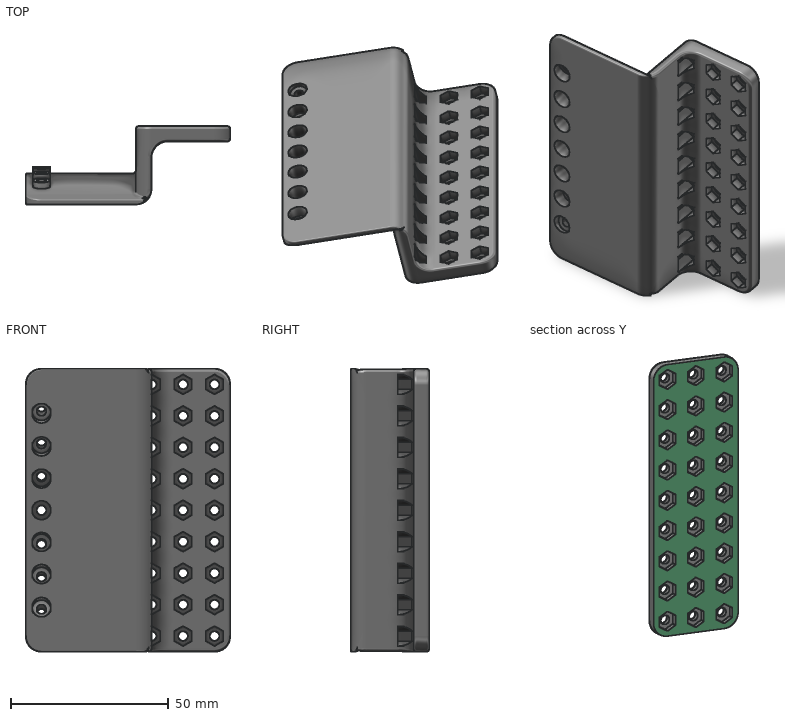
import cadquery as cq
import math

LENGTH = 65.0
DEPTH = 25.0
HEIGHT = 90.0
TOP = HEIGHT / 2

WALL = 5.0
WEB_OUTER = 40.0
WEB_INNER = WEB_OUTER - WALL
BACK_FRONT = DEPTH - WALL
CORNER_RADIUS = 5.0
BEND_RADIUS = 5.0
BODY_EDGE_RADIUS = 1.0

CROWN = 10.0
CROWN_RADIUS = 125.0
CROWN_AXIS_Y = CROWN - CROWN_RADIUS
PLATE_EDGE_RADIUS = 0.5
ROOT_RADIUS = 1.0

SCREW_X = 5.0
SCREW_PER_SIDE = 3
SCREW_ANGLE = 5.0
SCREW_HOLE = 3.0
BOSS_DIAMETER = 5.5
BOSS_HEIGHT = 2.0
HEAD_DIAMETER = 6.0
HEAD_SEAT_RADIUS = 121.5

GRID_PITCH = 10.0
GRID_COLUMNS = 3
GRID_ROWS = 9
NUT_HOLE = 3.0
NUT_FLATS = 5.5
NUT_DEPTH = 3.0
NUT_SIDES = 6
NUT_TURN = 180 / NUT_SIDES

TOLERANCE = 0.01


def pick(shape, wanted):
    """Return the edges of the shape whose centre satisfies the test."""
    edges = [edge for edge in shape.edges().vals() if wanted(edge.Center())]
    return shape.newObject(edges)


def is_bend(center):
    """Tell whether an edge centre lies on one of the two bends along the web."""
    return abs(center.x - WEB_OUTER) < TOLERANCE and abs(center.z) < TOLERANCE


def make_web_and_back_plate():
    """Z-extruded web and back plate with rounded corners and a rounded rear rim."""
    body = (
        cq.Workplane("XY", origin=(0, 0, -TOP))
        .moveTo(0, 0)
        .lineTo(WEB_OUTER, 0)
        .lineTo(WEB_OUTER, BACK_FRONT)
        .lineTo(LENGTH, BACK_FRONT)
        .lineTo(LENGTH, DEPTH)
        .lineTo(0, DEPTH)
        .close()
        .extrude(HEIGHT)
    )
    body = pick(body, is_bend).fillet(BEND_RADIUS)
    outline = (
        cq.Workplane("XY")
        .box(LENGTH - WEB_INNER, DEPTH, HEIGHT, centered=(False, False, True))
        .translate((WEB_INNER, 0, 0))
        .edges("|Y")
        .fillet(CORNER_RADIUS)
    )
    body = body.intersect(outline)
    return body.faces(">Y").edges().fillet(BODY_EDGE_RADIUS)


def is_front_rim(center):
    """Tell whether an edge centre lies on the open rim facing the front."""
    near_top_or_bottom = abs(center.z) > TOP - CORNER_RADIUS
    on_web = WEB_INNER + TOLERANCE < center.x < WEB_OUTER + BEND_RADIUS and center.y < BACK_FRONT
    beyond_bend = center.x > WEB_OUTER + BEND_RADIUS + TOLERANCE
    on_back_plate = beyond_bend and abs(center.y - BACK_FRONT) < TOLERANCE
    return on_back_plate or (on_web and near_top_or_bottom)


def make_front_plate():
    """Front plate with a crowned rear side and a rounded outer bend."""
    plate = cq.Workplane("XY").box(WEB_OUTER, CROWN, HEIGHT, centered=(False, False, True))
    plate = plate.edges("|Y and <X").fillet(CORNER_RADIUS)
    plate = plate.edges("|Z and >X and <Y").fillet(BEND_RADIUS)
    crown = (
        cq.Workplane("YZ")
        .center(CROWN_AXIS_Y, 0)
        .circle(CROWN_RADIUS)
        .extrude(WEB_OUTER)
    )
    plate = plate.intersect(crown)
    return pick(plate, is_plate_rim).fillet(PLATE_EDGE_RADIUS)


def is_plate_rim(center):
    """Tell whether an edge centre lies on the rim of the plate away from the web."""
    at_corner_seam = abs(center.x - CORNER_RADIUS) < TOLERANCE
    at_side_seam = center.x < TOLERANCE and abs(abs(center.z) - (TOP - CORNER_RADIUS)) < TOLERANCE
    on_outline = abs(center.z) > TOP - TOLERANCE or center.x < CORNER_RADIUS
    return on_outline and not at_corner_seam and not at_side_seam


def is_root(center):
    """Tell whether an edge centre lies on the arc where the crown meets the flat of the web."""
    return abs(center.x - WEB_INNER) < TOLERANCE and CROWN / 2 < center.y < CROWN


def join_plates():
    """Join both halves, with a rounded root along the crown and a rounded front rim on the web."""
    web = make_web_and_back_plate()
    plate = make_front_plate()
    sharp_body = web.union(plate)
    root_fillet = pick(sharp_body, is_root).fillet(ROOT_RADIUS).cut(sharp_body)
    rounded_web = pick(web, is_front_rim).fillet(BODY_EDGE_RADIUS)
    return plate.union(root_fillet).union(rounded_web)


def radial_cylinder(angle, diameter, start_radius, end_radius):
    """Cylinder pointing away from the crown axis, between two radii about that axis."""
    cylinder = cq.Workplane("XZ", origin=(SCREW_X, CROWN_AXIS_Y + start_radius, 0))
    cylinder = cylinder.circle(diameter / 2).extrude(start_radius - end_radius)
    return cylinder.rotate((0, CROWN_AXIS_Y, 0), (1, CROWN_AXIS_Y, 0), angle)


def add_screw_bosses(body):
    """Add the radial bosses with their through holes and head recesses."""
    boss_top = CROWN_RADIUS + BOSS_HEIGHT
    ahead = CROWN_RADIUS - 2 * CROWN
    for index in range(-SCREW_PER_SIDE, SCREW_PER_SIDE + 1):
        angle = index * SCREW_ANGLE
        body = body.union(radial_cylinder(angle, BOSS_DIAMETER, HEAD_SEAT_RADIUS, boss_top))
        body = body.cut(radial_cylinder(angle, SCREW_HOLE, ahead, boss_top))
        body = body.cut(radial_cylinder(angle, HEAD_DIAMETER, ahead, HEAD_SEAT_RADIUS))
    return body


def cut_nut_grid(body):
    """Cut the grid of holes, each with a hexagonal nut pocket on its front side."""
    rows = GRID_ROWS // 2
    points = [
        (WEB_OUTER + column * GRID_PITCH, row * GRID_PITCH)
        for column in range(GRID_COLUMNS)
        for row in range(-rows, rows + 1)
    ]
    pocket_front = BACK_FRONT - BEND_RADIUS
    pocket_floor = BACK_FRONT + NUT_DEPTH
    nut_corners = NUT_FLATS / math.cos(math.pi / NUT_SIDES)
    holes = (
        cq.Workplane("XZ", origin=(0, DEPTH, 0))
        .pushPoints(points)
        .circle(NUT_HOLE / 2)
        .extrude(DEPTH - pocket_front)
    )
    nut = (
        cq.Workplane("XZ", origin=(0, pocket_floor, 0))
        .polygon(NUT_SIDES, nut_corners)
        .extrude(pocket_floor - pocket_front)
        .rotate((0, 0, 0), (0, 1, 0), NUT_TURN)
    )
    for x, z in points:
        body = body.cut(nut.translate((x, 0, z)))
    return body.cut(holes)


result = join_plates()
result = add_screw_bosses(result)
result = cut_nut_grid(result)